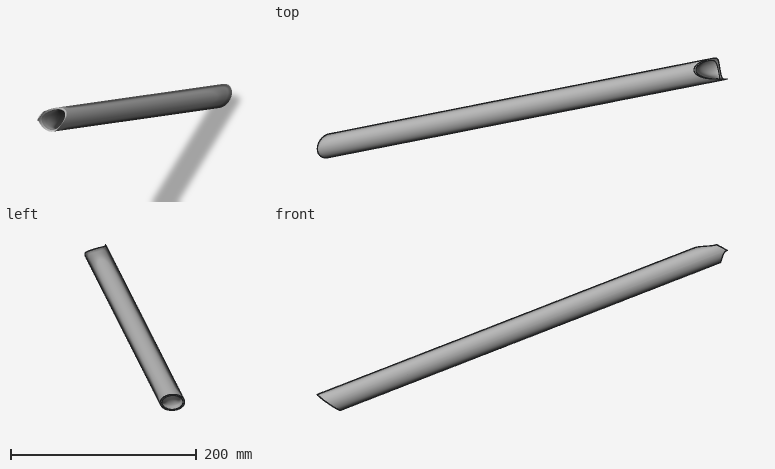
import cadquery as cq

outer_diameter = 25.0
wall = 1.8
run = cq.Vector(100, 19.7, 38.9).normalized()
centre_point = cq.Vector(0, 0, 1.0)

cope_radius = 12.5
cope_distance = 233.0
cope_offset = 1.0
cope_direction = cq.Vector(0.88, -0.02, -0.48).normalized()

miter_distance = 227.5
miter_normal = cq.Vector(-0.58, 0.11, -0.81).normalized()

stock_length = 618.5
cutter_length = 265
cutter_width = 132.5


def point_along(distance):
    """Point on the tube's centre line, measured toward the upper end."""
    return centre_point + run * distance


def rod(diameter):
    """Untrimmed cylinder on the tube's centre line."""
    plane = cq.Plane(origin=point_along(0), normal=run)
    return cq.Workplane(plane).circle(diameter / 2).extrude(stock_length / 2, both=True)


def cope_cutter():
    """Slanting half cylinder that opens into a wide block beyond its axis."""
    side = run.cross(cope_direction).normalized()
    axis_point = point_along(cope_distance) + side * cope_offset
    plane = cq.Plane(origin=axis_point, xDir=side, normal=cope_direction)
    half_width = cutter_width / 2
    return (
        cq.Workplane(plane)
        .moveTo(-cope_radius, 0)
        .threePointArc((0, -cope_radius), (cope_radius, 0))
        .lineTo(half_width, 0)
        .lineTo(half_width, cutter_width)
        .lineTo(-half_width, cutter_width)
        .lineTo(-half_width, 0)
        .close()
        .extrude(cutter_length / 2, both=True)
    )


def miter_cutter():
    """Block below the slanting plane of the lower end."""
    plane = cq.Plane(origin=point_along(-miter_distance), normal=miter_normal)
    return cq.Workplane(plane).rect(cutter_width, cutter_width).extrude(cutter_length)


tube = rod(outer_diameter).cut(rod(outer_diameter - 2 * wall))
result = tube.cut(cope_cutter()).cut(miter_cutter())